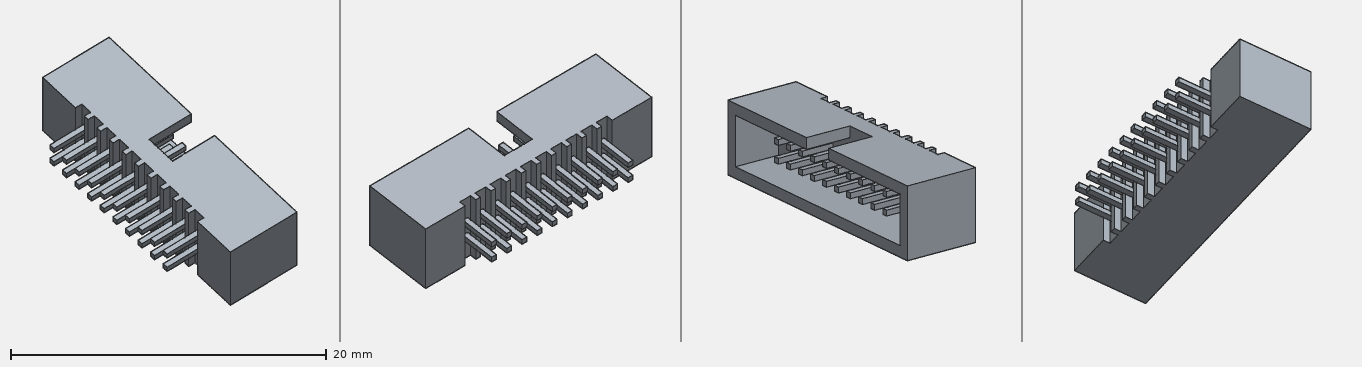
import cadquery as cq

length = 19.0
housing_depth = 5.42
height = 5.1
wall = 0.8

cavity_depth = 3.44
notch_width = 2.35

pin_columns = 10
pin_rows = 2
pitch = 1.27
pin_size = 0.4
tail_length = 2.28
tip_recess = 1.03

groove_width = 0.9
groove_depth = 0.51

mating_face = housing_depth
cavity_floor = mating_face - cavity_depth
tail_end = -tail_length
pin_length = mating_face - tip_recess - tail_end


def centred_positions(count):
    """Return positions one pitch apart, centred on zero."""
    return [(i - (count - 1) / 2) * pitch for i in range(count)]


def box_along_y(width, depth, tall, x=0, y_start=0, z=0):
    """Return a box centred on x and z that runs from y_start towards +Y."""
    box = cq.Workplane("XY").box(width, depth, tall, centered=(True, False, True))
    return box.translate((x, y_start, z))


def make_housing():
    housing = box_along_y(length, housing_depth, height)
    cavity = box_along_y(
        length - 2 * wall, cavity_depth, height - 2 * wall, y_start=cavity_floor
    )
    notch = box_along_y(
        notch_width, cavity_depth, wall, y_start=cavity_floor, z=(height - wall) / 2
    )
    housing = housing.cut(cavity).cut(notch)
    for x in centred_positions(pin_columns):
        housing = housing.cut(box_along_y(groove_width, groove_depth, height, x=x))
    return housing


def add_pins(housing):
    for x in centred_positions(pin_columns):
        for z in centred_positions(pin_rows):
            pin = box_along_y(pin_size, pin_length, pin_size, x=x, y_start=tail_end, z=z)
            housing = housing.union(pin)
    return housing


result = add_pins(make_housing())